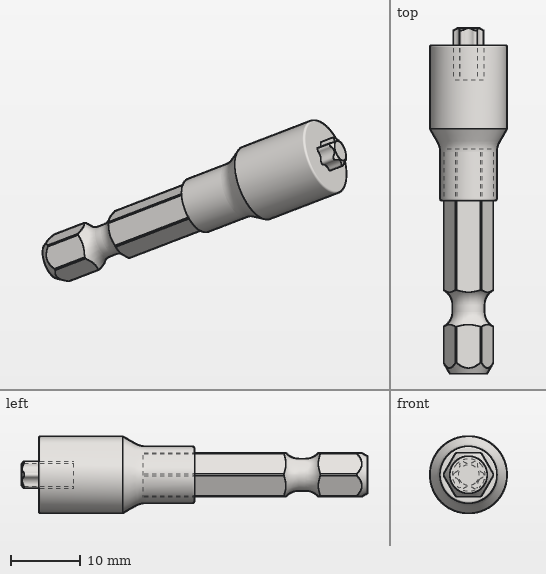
import cadquery as cq
import math

OVERALL_LENGTH = 50.0
FULL_TURN = 360

SLEEVE_REAR_Y = 25.0
SLEEVE_FRONT_Y = 47.5
HEAD_REAR_Y = 35.4
HEAD_RADIUS = 5.6
COLLAR_DIAMETER = 8.25
COLLAR_RADIUS = COLLAR_DIAMETER / 2
TAPER_ANGLE = math.radians(30)
TAPER_BLEND_RADIUS = 3.0
SLEEVE_EDGE_FILLET = 0.3

HEX_SIDES = 6
HEX_ACROSS_FLATS = 6.35
HEX_CORNER_RADIUS = 3.6
SHANK_INSERTION = 7.5
SHANK_FRONT_Y = SLEEVE_REAR_Y + SHANK_INSERTION
TAIL_RADIUS = 2.7
TAIL_ANGLE = math.radians(30)

GROOVE_CENTRE_Y = 9.45
GROOVE_FLOOR_LENGTH = 1.05
GROOVE_RADIUS = 2.35
GROOVE_SIDE_RADIUS = 2.4

LOBE_COUNT = 6
STAR_OUTER_RADIUS = 2.2
STAR_INNER_RADIUS = 1.65
LOBE_RADIUS = 0.4
PIN_INSERTION = 5.0
PIN_REAR_Y = SLEEVE_FRONT_Y - PIN_INSERTION
TIP_FACE_RADIUS = 1.5
TIP_ANGLE = math.radians(30)


def polar(radius, angle):
    """Point at the given radius and angle (radians)."""
    return (radius * math.cos(angle), radius * math.sin(angle))


def revolve_about_y(profile):
    """Turn a closed (radius, Y) profile a full circle about the Y axis."""
    return profile.close().revolve(FULL_TURN, (0, 0, 0), (0, 1, 0))


def cross_section_plane(y):
    """Workplane across the axis at the given Y; a negative extrusion runs towards +Y."""
    return cq.Workplane("XZ", origin=(0, y, 0))


def hex_prism(rear_y, front_y):
    """Sharp-cornered hexagonal bar with two corners on the X axis."""
    across_corners = HEX_ACROSS_FLATS / math.cos(math.pi / HEX_SIDES)
    return cross_section_plane(rear_y).polygon(HEX_SIDES, across_corners).extrude(rear_y - front_y)


def make_shank():
    """Hexagonal bar trimmed by a turned envelope: tail cone, retaining groove and eased corners."""
    tail_cone_length = (HEX_CORNER_RADIUS - TAIL_RADIUS) / math.tan(TAIL_ANGLE)
    floor_rear_y = GROOVE_CENTRE_Y - GROOVE_FLOOR_LENGTH / 2
    floor_front_y = GROOVE_CENTRE_Y + GROOVE_FLOOR_LENGTH / 2
    arc_centre_radius = GROOVE_RADIUS + GROOVE_SIDE_RADIUS

    sweep = math.acos((arc_centre_radius - HEX_CORNER_RADIUS) / GROOVE_SIDE_RADIUS)
    side_length = GROOVE_SIDE_RADIUS * math.sin(sweep)
    middle_radius = arc_centre_radius - GROOVE_SIDE_RADIUS * math.cos(sweep / 2)
    middle_offset = GROOVE_SIDE_RADIUS * math.sin(sweep / 2)

    envelope = revolve_about_y(
        cq.Workplane("XY")
        .lineTo(TAIL_RADIUS, 0)
        .lineTo(HEX_CORNER_RADIUS, tail_cone_length)
        .lineTo(HEX_CORNER_RADIUS, floor_rear_y - side_length)
        .threePointArc((middle_radius, floor_rear_y - middle_offset), (GROOVE_RADIUS, floor_rear_y))
        .lineTo(GROOVE_RADIUS, floor_front_y)
        .threePointArc((middle_radius, floor_front_y + middle_offset),
                       (HEX_CORNER_RADIUS, floor_front_y + side_length))
        .lineTo(HEX_CORNER_RADIUS, SHANK_FRONT_Y)
        .lineTo(0, SHANK_FRONT_Y)
    )
    return hex_prism(0, SHANK_FRONT_Y).intersect(envelope)


def star_prism(rear_y, front_y):
    """Bar with six round lobes joined tangentially by round flutes; one lobe points along +X."""
    pitch = 2 * math.pi / LOBE_COUNT
    lobe_centre = STAR_OUTER_RADIUS - LOBE_RADIUS

    gap = STAR_INNER_RADIUS - LOBE_RADIUS
    flute_centre = (lobe_centre**2 - gap**2) / (2 * (lobe_centre * math.cos(pitch / 2) - gap))
    flute_x, flute_y = polar(flute_centre, pitch / 2)
    tangent_direction = math.atan2(flute_y, flute_x - lobe_centre)
    tangent_x = lobe_centre + LOBE_RADIUS * math.cos(tangent_direction)
    tangent_y = LOBE_RADIUS * math.sin(tangent_direction)
    tangent_radius = math.hypot(tangent_x, tangent_y)
    tangent_angle = math.atan2(tangent_y, tangent_x)

    outline = cross_section_plane(rear_y).moveTo(*polar(tangent_radius, -tangent_angle))
    for index in range(LOBE_COUNT):
        angle = index * pitch
        outline = outline.threePointArc(
            polar(STAR_OUTER_RADIUS, angle), polar(tangent_radius, angle + tangent_angle)
        ).threePointArc(
            polar(STAR_INNER_RADIUS, angle + pitch / 2), polar(tangent_radius, angle + pitch - tangent_angle)
        )
    return outline.close().extrude(rear_y - front_y)


def make_star_pin():
    """Star bar with a shallow cone at its tip."""
    tip_length = (STAR_OUTER_RADIUS - TIP_FACE_RADIUS) * math.tan(TIP_ANGLE)
    envelope = revolve_about_y(
        cq.Workplane("XY")
        .moveTo(0, PIN_REAR_Y)
        .lineTo(STAR_OUTER_RADIUS, PIN_REAR_Y)
        .lineTo(STAR_OUTER_RADIUS, OVERALL_LENGTH - tip_length)
        .lineTo(TIP_FACE_RADIUS, OVERALL_LENGTH)
        .lineTo(0, OVERALL_LENGTH)
    )
    return star_prism(PIN_REAR_Y, OVERALL_LENGTH).intersect(envelope)


def make_sleeve(shank, star_pin):
    """Stepped round sleeve with rounded end edges, a matching socket for the shank and one for the pin."""
    blend_centre_radius = COLLAR_RADIUS + TAPER_BLEND_RADIUS
    blend_front_radius = blend_centre_radius - TAPER_BLEND_RADIUS * math.cos(TAPER_ANGLE)
    blend_middle_radius = blend_centre_radius - TAPER_BLEND_RADIUS * math.cos(TAPER_ANGLE / 2)
    taper_rear_y = HEAD_REAR_Y - (HEAD_RADIUS - blend_front_radius) / math.tan(TAPER_ANGLE)
    blend_rear_y = taper_rear_y - TAPER_BLEND_RADIUS * math.sin(TAPER_ANGLE)
    blend_middle_y = blend_rear_y + TAPER_BLEND_RADIUS * math.sin(TAPER_ANGLE / 2)

    body = revolve_about_y(
        cq.Workplane("XY")
        .moveTo(0, SLEEVE_REAR_Y)
        .lineTo(COLLAR_RADIUS, SLEEVE_REAR_Y)
        .lineTo(COLLAR_RADIUS, blend_rear_y)
        .threePointArc((blend_middle_radius, blend_middle_y), (blend_front_radius, taper_rear_y))
        .lineTo(HEAD_RADIUS, HEAD_REAR_Y)
        .lineTo(HEAD_RADIUS, SLEEVE_FRONT_Y)
        .lineTo(0, SLEEVE_FRONT_Y)
    )
    body = body.faces("<Y or >Y").edges().fillet(SLEEVE_EDGE_FILLET)
    return body.cut(shank).cut(star_pin)


shank = make_shank()
star_pin = make_star_pin()
sleeve = make_sleeve(shank, star_pin)

result = cq.Compound.makeCompound([shank.val(), star_pin.val(), sleeve.val()])